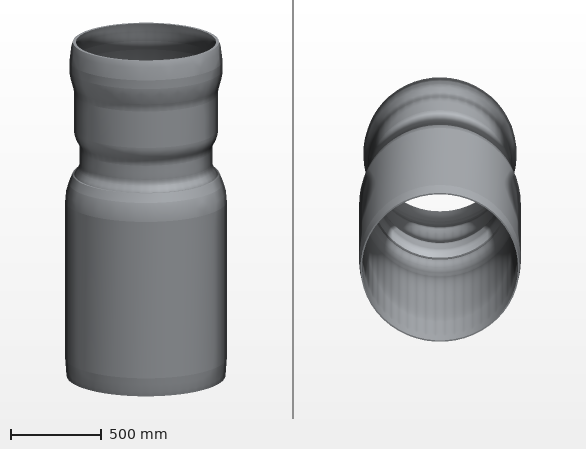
import cadquery as cq
import math

total_height = 1900.0
wall = 15.8
trim_allowance = 19.0

base_radius = 890.0 / 2
neck_radius = 730.0 / 2
barrel_radius = 792.0 / 2
bell_radius = 842.0 / 2

foot_radius = 437.0
foot_height = 105.0
base_straight_top = 995.0
shoulder_arc_top = 1098.0
shoulder_angle = math.radians(22.5)
joint_z = 1148.0

flare_arc_bottom = 1184.0
neck_bottom = 1215.0
flare_angle = math.radians(29.5)
neck_top = 1294.0
barrel_blend_z = 1335.0
barrel_bottom = 1405.0
barrel_top = 1611.0
bell_blend_z = 1655.0
bell_bottom = 1746.0
bell_top = 1795.0
bell_mouth_arc_radius = 295.0


def blend_angle(small_radius, large_radius, bottom_z, top_z):
    """Slope where the two tangent arcs of an S-shaped widening meet, negative as the wall faces down."""
    return -2 * math.atan((large_radius - small_radius) / (top_z - bottom_z))


def outer_nodes(start_radius, stations):
    """Turn (z, outward normal angle) stations into (radius, z, normal) nodes joined by tangent arcs.

    Each stretch gives two nodes, its middle and its end; equal normals give a straight stretch.
    """
    z, normal = stations[0]
    nodes = [(start_radius, z, normal)]
    for next_z, next_normal in stations[1:]:
        radius, z, normal = nodes[-1]
        middle = (normal + next_normal) / 2
        if next_normal == normal:
            height = next_z - z
            nodes.append((radius - height / 2 * math.tan(normal), z + height / 2, normal))
            nodes.append((radius - height * math.tan(normal), next_z, normal))
            continue
        arc_radius = (next_z - z) / (math.sin(next_normal) - math.sin(normal))
        for angle in (middle, next_normal):
            nodes.append((
                radius + arc_radius * (math.cos(angle) - math.cos(normal)),
                z + arc_radius * (math.sin(angle) - math.sin(normal)),
                angle,
            ))
    return nodes


def trace(sketch, points, normals):
    """Continue a sketch through (middle, end) pairs as lines or arcs."""
    for i in range(1, len(points) - 1, 2):
        if normals[i - 1] == normals[i + 1]:
            sketch = sketch.lineTo(*points[i + 1])
        else:
            sketch = sketch.threePointArc(points[i], points[i + 1])
    return sketch


def revolved_shell(start_radius, stations):
    """Revolve a wall of even thickness whose outer face follows the stations."""
    nodes = outer_nodes(start_radius, stations)
    normals = [n for _, _, n in nodes]
    outer = [(r, z) for r, z, _ in nodes]
    inner = [(r - wall * math.cos(n), z - wall * math.sin(n)) for r, z, n in nodes]
    sketch = cq.Workplane("XZ").moveTo(*outer[0])
    sketch = trace(sketch, outer, normals)
    sketch = sketch.lineTo(*inner[-1])
    sketch = trace(sketch, inner[::-1], normals[::-1])
    return sketch.close().revolve(360, (0, 0, 0), (0, 1, 0))


def trim_between(body, bottom_z, top_z):
    """Keep the part of a body between two level planes."""
    slab = cq.Workplane("XY").workplane(offset=bottom_z).circle(2 * base_radius).extrude(top_z - bottom_z)
    return body.intersect(slab).solids()


def make_base_pipe():
    shell = revolved_shell(base_radius, [
        (0, 0),
        (base_straight_top, 0),
        (shoulder_arc_top, shoulder_angle),
        (joint_z + trim_allowance, shoulder_angle),
    ])
    foot_taper = (
        cq.Workplane("XZ")
        .polyline([(foot_radius, 0), (base_radius, 0), (base_radius, foot_height)])
        .close()
        .revolve(360, (0, 0, 0), (0, 1, 0))
    )
    return trim_between(shell, 0, joint_z).cut(foot_taper).solids()


def make_socket_pipe():
    arc_widening = (neck_bottom - flare_arc_bottom) * math.tan(flare_angle / 2)
    start_z = joint_z - trim_allowance
    cone_widening = (flare_arc_bottom - start_z) * math.tan(flare_angle)
    mouth_z = total_height + trim_allowance
    mouth_angle = math.asin((mouth_z - bell_top) / bell_mouth_arc_radius)
    shell = revolved_shell(neck_radius + arc_widening + cone_widening, [
        (start_z, flare_angle),
        (flare_arc_bottom, flare_angle),
        (neck_bottom, 0),
        (neck_top, 0),
        (barrel_blend_z, blend_angle(neck_radius, barrel_radius, neck_top, barrel_bottom)),
        (barrel_bottom, 0),
        (barrel_top, 0),
        (bell_blend_z, blend_angle(barrel_radius, bell_radius, barrel_top, bell_bottom)),
        (bell_bottom, 0),
        (bell_top, 0),
        (mouth_z, mouth_angle),
    ])
    return trim_between(shell, joint_z, total_height)


base_pipe = make_base_pipe()
socket_pipe = make_socket_pipe()

result = cq.Compound.makeCompound([base_pipe.val(), socket_pipe.val()])